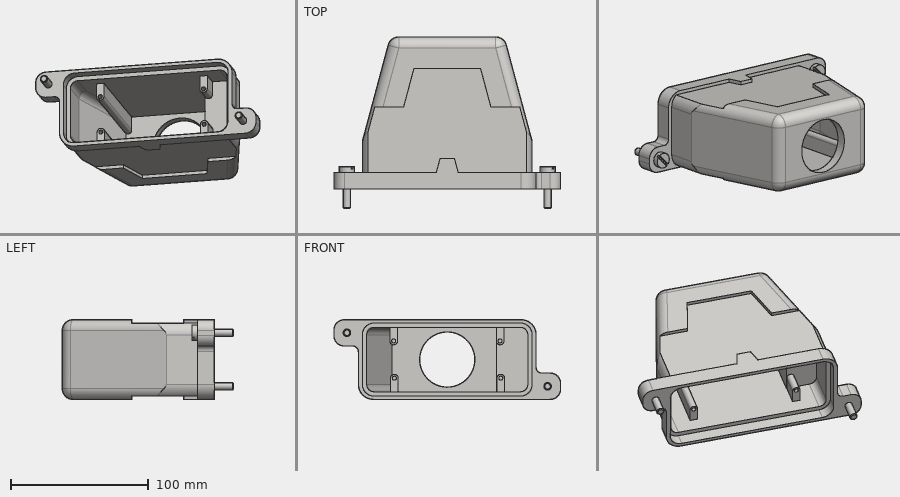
import cadquery as cq
import math


OVERALL_LENGTH = 165.0
HALF_LENGTH = OVERALL_LENGTH / 2
HALF_HEIGHT = 29.0
HOOD_DEPTH = 110.7

BODY_HALF_WIDTH = 61.7
BODY_CORNER_RADIUS = 11.0
TAPER_START = 35.0
TAPER_ANGLE = 15
TAPER_SLOPE = math.tan(math.radians(TAPER_ANGLE))
TAPER_FILLET = 8.1

FLANGE_HALF_WIDTH = 64.7
FLANGE_THICKNESS = 12.2
EAR_HEIGHT = 19.3
EAR_RADIUS = 7.8
EAR_INNER_FILLET = 4.0

PANEL_DEPTH = 2.5
PANEL_SHOULDER = 59.9
PANEL_END = 87.8
PANEL_NECK_HALF_WIDTH = 31.7
TAB_HALF_WIDTH = 8.0
TAB_END = 22.5

LIP_END_WALL = 3.0
LIP_DEPTH = 8.9
LIP_WALL = 2.5
LIP_HALF_HEIGHT = HALF_HEIGHT - LIP_WALL
LIP_RADIUS = BODY_CORNER_RADIUS - LIP_WALL
CAVITY_HALF_WIDTH = 58.5
CAVITY_HALF_HEIGHT = 23.5
CAVITY_RADIUS = 5.5
CAVITY_FLOOR = 103.3
DEEP_CAVITY_RIGHT = 35.8
CABLE_HOLE_DIAMETER = 40.0

POST_X = (39.0, -38.5)
POST_Z = -13.5
POST_WIDTH = 5.6
POST_FRONT = 19.5
POST_HOLE_DIAMETER = 3.0
POST_HOLE_DEPTH = 8.2

SCREW_X = 73.0
SCREW_Z = -19.5
SCREW_DIAMETER = 5.5
SCREW_PROTRUSION = 13.9
SCREW_TIP_CHAMFER = 0.7
HEAD_DIAMETER = 11.2
HEAD_HEIGHT = 4.1
SLOT_WIDTH = 1.5
SLOT_DEPTH = 1.6
SLOT_ANGLE = 45


def half_turn(solid):
    return solid.rotate((0, 0, 0), (0, 1, 0), 180)


def rod(x, z, diameter, start, end):
    """Cylinder along Y between two depths."""
    plane = cq.Workplane("XZ", origin=(x, start, z))
    return plane.circle(diameter / 2).extrude(start - end)


def rounded_prism(half_width, half_height, radius, depth):
    """Block along Y from the mating face, with its long edges rounded."""
    block = cq.Workplane("XY").box(2 * half_width, depth, 2 * half_height)
    return block.edges("|Y").fillet(radius).translate((0, depth / 2, 0))


def plate(points, half_height):
    """Outline in X and Y, extruded equally above and below Z = 0."""
    return cq.Workplane("XY").polyline(points).close().extrude(half_height, both=True)


def outer_body():
    prism = rounded_prism(BODY_HALF_WIDTH, HALF_HEIGHT, BODY_CORNER_RADIUS, HOOD_DEPTH)
    front_half = BODY_HALF_WIDTH + TAPER_START * TAPER_SLOPE
    back_half = front_half - HOOD_DEPTH * TAPER_SLOPE
    wedge = plate(
        [(-front_half, 0), (front_half, 0), (back_half, HOOD_DEPTH), (-back_half, HOOD_DEPTH)],
        HALF_HEIGHT,
    )
    return prism.intersect(wedge.edges("not <Y").fillet(TAPER_FILLET))


def grip_panel():
    """Cutter for the sunken panel on the top face, with a raised tab left at the flange."""
    end_half = PANEL_NECK_HALF_WIDTH - (PANEL_END - PANEL_SHOULDER) * TAPER_SLOPE
    tab_end_half = TAB_HALF_WIDTH - (TAB_END - FLANGE_THICKNESS) * TAPER_SLOPE
    right_side = [
        (tab_end_half, TAB_END),
        (TAB_HALF_WIDTH, FLANGE_THICKNESS),
        (HALF_LENGTH, FLANGE_THICKNESS),
        (HALF_LENGTH, PANEL_SHOULDER),
        (PANEL_NECK_HALF_WIDTH, PANEL_SHOULDER),
        (end_half, PANEL_END),
    ]
    left_side = [(-x, y) for x, y in reversed(right_side)]
    panel = plate(right_side + left_side, PANEL_DEPTH)
    return panel.translate((0, 0, HALF_HEIGHT))


def ear():
    """Ear at the lower right, blended into the flange side."""
    bottom = -HALF_HEIGHT
    top = bottom + EAR_HEIGHT
    fillet_end = FLANGE_HALF_WIDTH + EAR_INNER_FILLET
    fillet_mid = EAR_INNER_FILLET * (1 - math.sqrt(0.5))
    corner_mid = EAR_RADIUS * (1 - math.sqrt(0.5))
    return (
        cq.Workplane("XZ")
        .moveTo(0, bottom)
        .lineTo(HALF_LENGTH - EAR_RADIUS, bottom)
        .threePointArc((HALF_LENGTH - corner_mid, bottom + corner_mid), (HALF_LENGTH, bottom + EAR_RADIUS))
        .lineTo(HALF_LENGTH, top - EAR_RADIUS)
        .threePointArc((HALF_LENGTH - corner_mid, top - corner_mid), (HALF_LENGTH - EAR_RADIUS, top))
        .lineTo(fillet_end, top)
        .threePointArc(
            (FLANGE_HALF_WIDTH + fillet_mid, top + fillet_mid),
            (FLANGE_HALF_WIDTH, top + EAR_INNER_FILLET),
        )
        .lineTo(0, top + EAR_INNER_FILLET)
        .close()
        .extrude(-FLANGE_THICKNESS)
    )


def flange():
    base = rounded_prism(FLANGE_HALF_WIDTH, HALF_HEIGHT, BODY_CORNER_RADIUS, FLANGE_THICKNESS)
    return base.union(ear()).union(half_turn(ear()))


def cavity():
    """Inner space: its left wall follows the taper, its right side ends early in a flat shelf."""
    mouth_left = -CAVITY_HALF_WIDTH - TAPER_START * TAPER_SLOPE
    floor_left = mouth_left + CAVITY_FLOOR * TAPER_SLOPE
    outline = [
        (mouth_left, 0),
        (CAVITY_HALF_WIDTH, 0),
        (CAVITY_HALF_WIDTH, TAPER_START),
        (DEEP_CAVITY_RIGHT, TAPER_START),
        (DEEP_CAVITY_RIGHT, CAVITY_FLOOR),
        (floor_left, CAVITY_FLOOR),
    ]
    space = plate(outline, CAVITY_HALF_HEIGHT)
    space = space.faces("<X").edges("not |Z").fillet(CAVITY_RADIUS)
    return space.intersect(
        rounded_prism(CAVITY_HALF_WIDTH, CAVITY_HALF_HEIGHT, CAVITY_RADIUS, CAVITY_FLOOR)
    )


def post(x):
    """Round-topped post rising from the lower cavity wall and running back to the cavity floor."""
    length = CAVITY_FLOOR - POST_FRONT
    rise = CAVITY_HALF_HEIGHT + POST_Z
    web = cq.Workplane("XY").box(POST_WIDTH, length, rise, centered=(True, False, False))
    web = web.translate((x, POST_FRONT, -CAVITY_HALF_HEIGHT))
    crown = rod(x, POST_Z, POST_WIDTH, POST_FRONT, CAVITY_FLOOR)
    hole = rod(x, POST_Z, POST_HOLE_DIAMETER, POST_FRONT, POST_FRONT + POST_HOLE_DEPTH)
    return web.union(crown).cut(hole)


def screw():
    head_end = FLANGE_THICKNESS + HEAD_HEIGHT
    shank = rod(SCREW_X, SCREW_Z, SCREW_DIAMETER, -SCREW_PROTRUSION, FLANGE_THICKNESS)
    shank = shank.faces("<Y").chamfer(SCREW_TIP_CHAMFER)
    head = rod(SCREW_X, SCREW_Z, HEAD_DIAMETER, FLANGE_THICKNESS, head_end)
    slot = cq.Workplane("XY").box(2 * HEAD_DIAMETER, 2 * SLOT_DEPTH, SLOT_WIDTH)
    slot = slot.rotate((0, 0, 0), (0, 1, 0), -SLOT_ANGLE).translate((SCREW_X, head_end, SCREW_Z))
    return shank.union(head.cut(slot))


result = outer_body().cut(grip_panel()).cut(half_turn(grip_panel()))
result = result.union(flange())

result = result.cut(
    rounded_prism(FLANGE_HALF_WIDTH - LIP_END_WALL, LIP_HALF_HEIGHT, LIP_RADIUS, LIP_DEPTH)
)
result = result.cut(cavity())
result = result.cut(rod(0, 0, CABLE_HOLE_DIAMETER, CAVITY_FLOOR, HOOD_DEPTH))

for post_x in POST_X:
    result = result.union(post(post_x)).union(half_turn(post(post_x)))
result = result.union(screw()).union(half_turn(screw()))